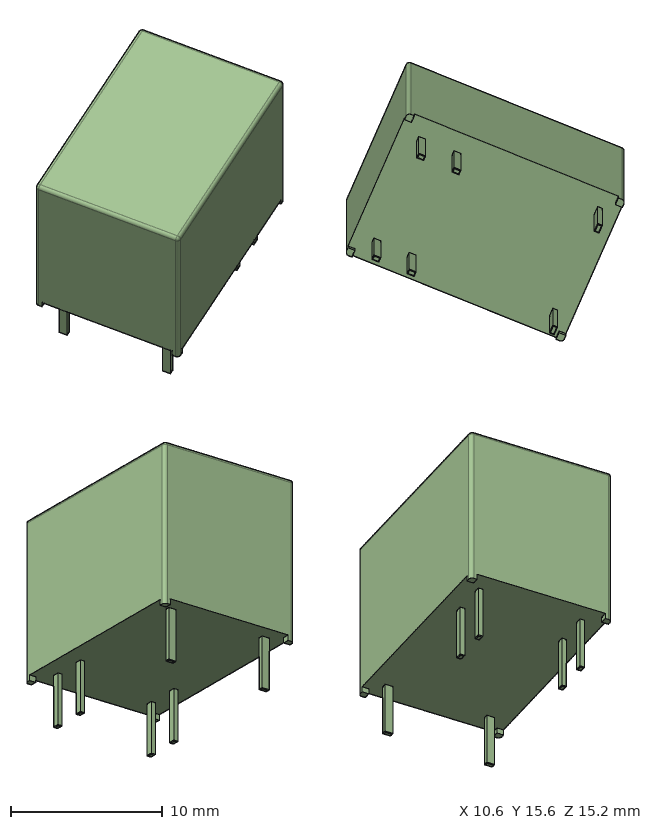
import cadquery as cq

width = 10.6
length = 15.6
total_height = 15.2
pin_drop = 3.4
edge_radius = 0.25
foot_size = 0.5
foot_height = 0.4

pin_row_spacing = 7.61
pin_tip_chamfer = 0.055
front_pin_size = (0.6, 0.35)
rear_pin_size = (0.35, 0.5)
front_pin_y = -6.49
rear_pin_ys = (3.67, 6.2)

housing_height = total_height - pin_drop
pin_length = pin_drop + foot_height


def make_housing():
    """Block with rounded sides and top, relieved below to leave four corner feet."""
    block = (
        cq.Workplane("XY")
        .box(width, length, housing_height, centered=(True, True, False))
        .edges("|Z or >Z")
        .fillet(edge_radius)
    )
    inner_width = width - 2 * foot_size
    inner_length = length - 2 * foot_size
    for relief_x, relief_y in ((inner_width, length), (width, inner_length)):
        relief = cq.Workplane("XY").box(relief_x, relief_y, foot_height, centered=(True, True, False))
        block = block.cut(relief)
    return block


def make_pin(x, y, size):
    """Rectangular pin hanging from the underside, with a chamfered tip."""
    return (
        cq.Workplane("XY", origin=(x, y, foot_height))
        .rect(*size)
        .extrude(-pin_length)
        .faces("<Z")
        .chamfer(pin_tip_chamfer)
    )


result = make_housing()
for side in (-1, 1):
    pin_x = side * pin_row_spacing / 2
    result = result.union(make_pin(pin_x, front_pin_y, front_pin_size))
    for rear_pin_y in rear_pin_ys:
        result = result.union(make_pin(pin_x, rear_pin_y, rear_pin_size))